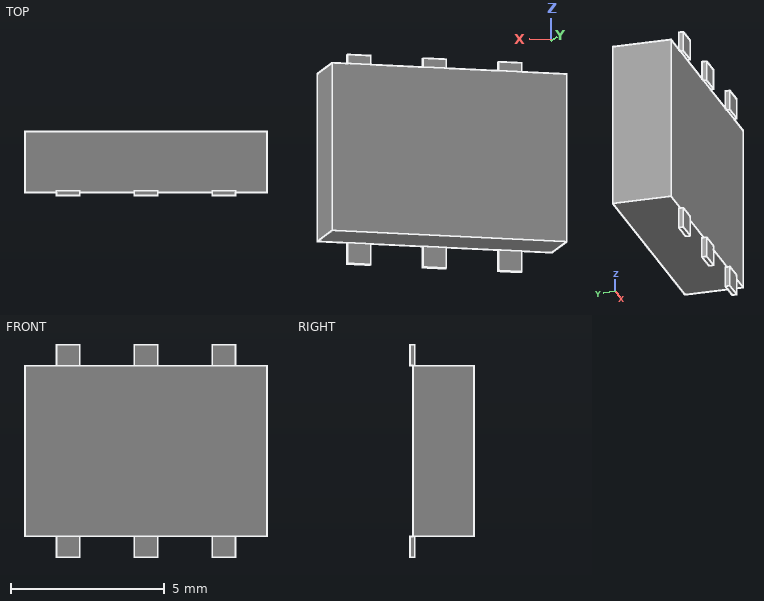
import cadquery as cq

housing_length = 7.87
housing_height = 5.55
housing_depth = 1.99

lead_width = 0.77
lead_length = 0.68
lead_thickness = 0.16
lead_pitch = 2.53
leads_per_row = 3
lead_standoff = 0.10

lead_row_z = (housing_height + lead_length) / 2
row_half_span = (leads_per_row - 1) * lead_pitch / 2


def make_housing():
    """Block with its front face in the plane Y = 0, reaching towards +Y."""
    return cq.Workplane("XY").box(
        housing_length, housing_depth, housing_height, centered=(True, False, True)
    )


def make_lead(x, z):
    """Flat lead centred at x and z, touching the housing end and standing proud of its front."""
    return (
        cq.Workplane("XY")
        .box(lead_width, lead_thickness, lead_length, centered=(True, False, True))
        .translate((x, -lead_standoff, z))
    )


housing = make_housing()

leads = []
for row_z in (-lead_row_z, lead_row_z):
    for index in range(leads_per_row):
        lead_x = index * lead_pitch - row_half_span
        leads.append(make_lead(lead_x, row_z))

result = cq.Compound.makeCompound([housing.val(), *[lead.val() for lead in leads]])